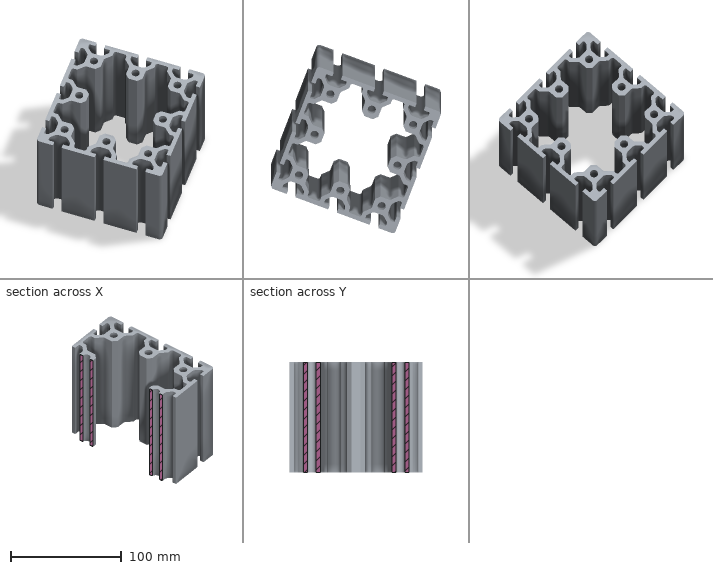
import cadquery as cq

side = 120.0
height = 100.0
pitch = side / 3
outer_round = 3.0
plate = 4.0

slot_width = 8.3
lip_round = 0.5
corner_pocket_half_width = 10.0
middle_pocket_half_width = 9.7
pocket_depth = 12.4
pocket_floor_half_width = 4.9
floor_round = 3.8
corner_pocket_round = 1.0
middle_pocket_round = 0.5
slope_round = 2.4

core_half_width = 7.9
core_chamfer = 3.8
bore_diameter = 7.3

bay_half_width = 6.0
bay_straight_depth = 8.9
bay_round = 2.0
rib_bend_round = 1.5
rib_root_round = 3.0

half_side = side / 2
row_offset = half_side - pitch / 2
TURNS = (0, 90, 180, 270)


def prism(points):
    """Full-height prism over a closed outline."""
    return cq.Workplane("XY").polyline(points).close().extrude(height)


def box(x_min, x_max, y_min, y_max):
    """Full-height block over a rectangle."""
    return prism([(x_min, y_min), (x_max, y_min), (x_max, y_max), (x_min, y_max)])


def upright_edges(body, x, y):
    """Select the upright edge standing at (x, y)."""
    reach = 0.01
    around = cq.selectors.BoxSelector(
        (x - reach, y - reach, 0),
        (x + reach, y + reach, height),
    )
    return body.edges("|Z").edges(around)


def round_edges(body, x_positions, y, radius):
    """Round the upright edges at each x along one y."""
    for x in x_positions:
        body = upright_edges(body, x, y).fillet(radius)
    return body


def turned(body, angle):
    """Turn a body about the part's Z axis."""
    return body.rotate((0, 0, 0), (0, 0, 1), angle)


def slot_cutter(x, pocket_half_width, pocket_round):
    """T-slot opening in the +Y face, centred on x."""
    lip_y = half_side - plate
    floor_y = half_side - pocket_depth
    slope_y = floor_y + pocket_half_width - pocket_floor_half_width
    walls = (x - pocket_half_width, x + pocket_half_width)
    floor = (x - pocket_floor_half_width, x + pocket_floor_half_width)
    pocket = prism([
        (walls[0], lip_y), (walls[0], slope_y), (floor[0], floor_y),
        (floor[1], floor_y), (walls[1], slope_y), (walls[1], lip_y),
    ])
    pocket = round_edges(pocket, floor, floor_y, floor_round)
    pocket = round_edges(pocket, walls, slope_y, slope_round)
    pocket = round_edges(pocket, walls, lip_y, pocket_round)

    mouth_walls = (x - slot_width / 2, x + slot_width / 2)
    mouth = box(*mouth_walls, slope_y, half_side)
    clearance = box(*walls, half_side, half_side + plate)
    cutter = pocket.union(mouth).union(clearance)
    cutter = round_edges(cutter, mouth_walls, lip_y, lip_round)
    return round_edges(cutter, mouth_walls, half_side, lip_round)


def bay_cutter(x):
    """Space behind the +Y skin between two cores, widening inwards."""
    outer_y = half_side - plate
    slope_y = half_side - bay_straight_depth
    inner_half_width = pitch / 2 - core_half_width
    inner_y = slope_y - (inner_half_width - bay_half_width)
    walls = (x - bay_half_width, x + bay_half_width)
    inner = (x - inner_half_width, x + inner_half_width)
    bay = prism([
        (walls[0], outer_y), (walls[0], slope_y), (inner[0], inner_y), (inner[0], 0),
        (inner[1], 0), (inner[1], inner_y), (walls[1], slope_y), (walls[1], outer_y),
    ])
    bay = round_edges(bay, walls, outer_y, bay_round)
    bay = round_edges(bay, walls, slope_y, rib_bend_round)
    return round_edges(bay, inner, inner_y, rib_root_round)


middle_half = row_offset - core_half_width
hollow = box(-middle_half, middle_half, -middle_half, middle_half)
for angle in TURNS:
    for bay_x in (-pitch / 2, pitch / 2):
        hollow = hollow.union(turned(bay_cutter(bay_x), angle))

result = box(-half_side, half_side, -half_side, half_side).edges("|Z").fillet(outer_round).cut(hollow)

for angle in TURNS:
    slots = slot_cutter(0, middle_pocket_half_width, middle_pocket_round)
    for x in (-pitch, pitch):
        slots = slots.union(slot_cutter(x, corner_pocket_half_width, corner_pocket_round))
    result = result.cut(turned(slots, angle))

for angle in TURNS:
    result = turned(result, angle)
    for x in (-core_half_width, core_half_width, middle_half):
        result = upright_edges(result, x, middle_half).chamfer(core_chamfer)
    result = turned(result, -angle)

bore_places = [
    (column * pitch, row * pitch)
    for column in (-1, 0, 1)
    for row in (-1, 0, 1)
    if (column, row) != (0, 0)
]
bores = cq.Workplane("XY").pushPoints(bore_places).circle(bore_diameter / 2).extrude(height)
result = result.cut(bores)